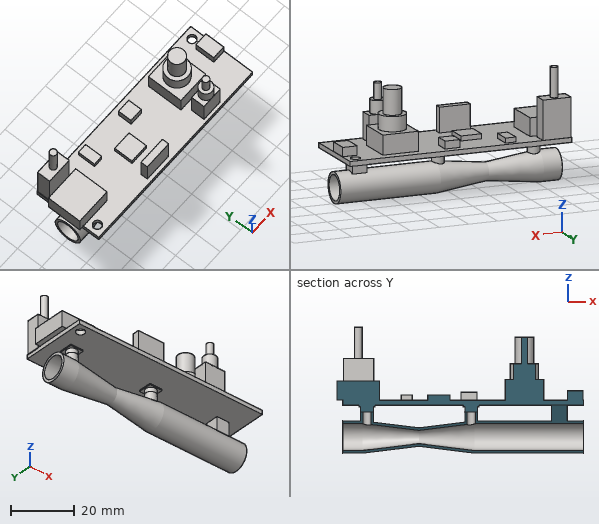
import cadquery as cq


BOARD_LENGTH = 76.1
BOARD_WIDTH = 25.4
BOARD_THICKNESS = 1.6
BOARD_BOTTOM = -BOARD_THICKNESS
MOUNT_HOLE_DIAMETER = 3.2
MOUNT_HOLE_INSET = 3.2

CONNECTOR = (-1.8, 6.3, 13.5, 12.85, 6.1)
REGULATOR = (18.5, 17.1, 3.6, 6.6, 1.6)
PROCESSOR = (26.9, 8.65, 7.1, 7.1, 1.6)
HEADER = (25.7, 1.4, 10.6, 2.6, 8.4)
AMPLIFIER = (37.4, 17.8, 5.1, 5.15, 2.6)
END_SOCKET = (71.0, 11.7, 5.0, 7.3, 3.0)

SWITCH_BLOCK = (0.2, 20.3, 9.7, 5.0, 13.2)
LEVER_CENTER = (5.0, 22.8)
LEVER_DIAMETER = 2.6
LEVER_TOP = 23.1

KNOB_CENTER = (57.4, 15.5)
KNOB_BLOCK_LENGTH = 12.2
KNOB_BLOCK_WIDTH = 13.3
KNOB_BLOCK_HEIGHT = 6.55
BUSHING_DIAMETER = 9.0
BUSHING_TOP = 11.5
SHAFT_DIAMETER = 6.0
SHAFT_TOP = 19.95

BUTTON_CENTER = (KNOB_CENTER[0], 3.7)
BUTTON_BLOCK_LENGTH = 8.0
COLLAR_DIAMETER = 5.1
BUTTON_BLOCK_WIDTH = COLLAR_DIAMETER
BUTTON_BLOCK_HEIGHT = 8.9
COLLAR_TOP = 13.3
PLUNGER_DIAMETER = 2.5
PLUNGER_TOP = 18.8

TUBE_Y = BOARD_WIDTH / 2
TUBE_DIAMETER = 10.4
TUBE_BORE = 8.4
THROAT_DIAMETER = 6.0
TUBE_WALL = (TUBE_DIAMETER - TUBE_BORE) / 2
TUBE_BOTTOM = -16.8
TUBE_Z = TUBE_BOTTOM + TUBE_DIAMETER / 2
INLET_END_X = 6.3
THROAT_X = 24.15
OUTLET_START_X = 41.7

PORT_XS = (7.7, 40.6)
PORT_DIAMETER = 4.1
PORT_HOLE_DIAMETER = 2.5
SENSOR_SIDE = 5.1
SENSOR_HEIGHT = 0.5
PORT_JOINT_Z = -3.75

POST_X = 68.5
POST_SIDE = 5.1


def block(left, front, length, width, height):
    """Rectangular component standing on the board."""
    return cq.Workplane("XY").box(length, width, height, centered=False).translate((left, front, 0))


def centered_block(center, length, width, height):
    """Rectangular component standing on the board, centred on a point."""
    return block(center[0] - length / 2, center[1] - width / 2, length, width, height)


def upright_cylinder(center, diameter, bottom, top):
    """Vertical cylinder between two heights."""
    return cq.Workplane("XY", origin=(*center, bottom)).circle(diameter / 2).extrude(top - bottom)


def make_switch():
    lever = upright_cylinder(LEVER_CENTER, LEVER_DIAMETER, 0, LEVER_TOP)
    return block(*SWITCH_BLOCK).union(lever)


def make_knob():
    base = centered_block(KNOB_CENTER, KNOB_BLOCK_LENGTH, KNOB_BLOCK_WIDTH, KNOB_BLOCK_HEIGHT)
    bushing = upright_cylinder(KNOB_CENTER, BUSHING_DIAMETER, 0, BUSHING_TOP)
    shaft = upright_cylinder(KNOB_CENTER, SHAFT_DIAMETER, 0, SHAFT_TOP)
    return base.union(bushing).union(shaft)


def make_button():
    base = centered_block(BUTTON_CENTER, BUTTON_BLOCK_LENGTH, BUTTON_BLOCK_WIDTH, BUTTON_BLOCK_HEIGHT)
    collar = upright_cylinder(BUTTON_CENTER, COLLAR_DIAMETER, 0, COLLAR_TOP)
    plunger = upright_cylinder(BUTTON_CENTER, PLUNGER_DIAMETER, 0, PLUNGER_TOP)
    return base.union(collar).union(plunger)


def make_pressure_sensor(x):
    """Thin square sensor under the board with a round nozzle below it."""
    sensor = (
        cq.Workplane("XY", origin=(x, TUBE_Y, BOARD_BOTTOM))
        .rect(SENSOR_SIDE, SENSOR_SIDE)
        .extrude(-SENSOR_HEIGHT)
    )
    nozzle = upright_cylinder((x, TUBE_Y), PORT_DIAMETER, PORT_JOINT_Z, BOARD_BOTTOM)
    return sensor.union(nozzle)


def make_board():
    """Circuit board with all of its components."""
    board = cq.Workplane("XY").box(BOARD_LENGTH, BOARD_WIDTH, BOARD_THICKNESS, centered=False)
    board = board.translate((0, 0, BOARD_BOTTOM))
    mount_holes = [
        (MOUNT_HOLE_INSET, MOUNT_HOLE_INSET),
        (BOARD_LENGTH - MOUNT_HOLE_INSET, BOARD_WIDTH - MOUNT_HOLE_INSET),
    ]
    for center in mount_holes:
        board = board.cut(upright_cylinder(center, MOUNT_HOLE_DIAMETER, BOARD_BOTTOM, 0))
    for component in (CONNECTOR, REGULATOR, PROCESSOR, HEADER, AMPLIFIER, END_SOCKET):
        board = board.union(block(*component))
    for x in PORT_XS:
        board = board.union(make_pressure_sensor(x))
    return board.union(make_switch()).union(make_knob()).union(make_button())


def venturi(end_radius, throat_radius):
    """Solid of revolution about the tube axis that narrows to the throat."""
    return (
        cq.Workplane("XZ", origin=(0, TUBE_Y, TUBE_Z))
        .moveTo(0, 0)
        .lineTo(0, end_radius)
        .lineTo(INLET_END_X, end_radius)
        .lineTo(THROAT_X, throat_radius)
        .lineTo(OUTLET_START_X, end_radius)
        .lineTo(BOARD_LENGTH, end_radius)
        .lineTo(BOARD_LENGTH, 0)
        .close()
        .revolve(360, (0, 0, 0), (1, 0, 0))
    )


def make_flow_tube():
    """Hollow venturi with two pressure ports and a support post."""
    tube = venturi(TUBE_DIAMETER / 2, THROAT_DIAMETER / 2)
    for x in PORT_XS:
        tube = tube.union(upright_cylinder((x, TUBE_Y), PORT_DIAMETER, TUBE_Z, PORT_JOINT_Z))
    post = (
        cq.Workplane("XY", origin=(POST_X, TUBE_Y, TUBE_Z))
        .rect(POST_SIDE, POST_SIDE)
        .extrude(BOARD_BOTTOM - TUBE_Z)
    )
    tube = tube.union(post)
    tube = tube.cut(venturi(TUBE_BORE / 2, THROAT_DIAMETER / 2 - TUBE_WALL))
    for x in PORT_XS:
        tube = tube.cut(upright_cylinder((x, TUBE_Y), PORT_HOLE_DIAMETER, TUBE_Z, PORT_JOINT_Z))
    return tube


circuit_board = make_board()
flow_tube = make_flow_tube()
result = cq.Compound.makeCompound([circuit_board.val(), flow_tube.val()])